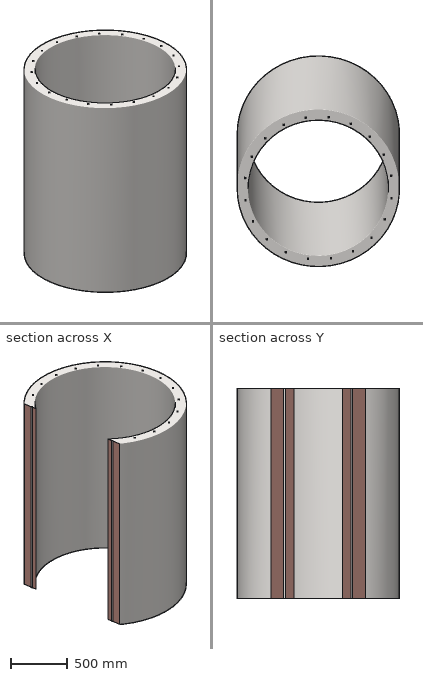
import cadquery as cq

height = 1875.0
outer_diameter = 1450.0
inner_diameter = 1250.0
edge_radius = 2.0

hole_count = 20
hole_diameter = 12.0
hole_circle_diameter = 1318.0
first_hole_angle = 360 / hole_count / 2


def make_tube():
    tube = cq.Workplane("XY").circle(outer_diameter / 2).circle(inner_diameter / 2).extrude(height)
    return tube.faces("<Z or >Z").edges().fillet(edge_radius)


def make_hole_cutters():
    return (
        cq.Workplane("XY")
        .polarArray(hole_circle_diameter / 2, first_hole_angle, 360, hole_count)
        .circle(hole_diameter / 2)
        .extrude(height)
    )


result = make_tube().cut(make_hole_cutters())